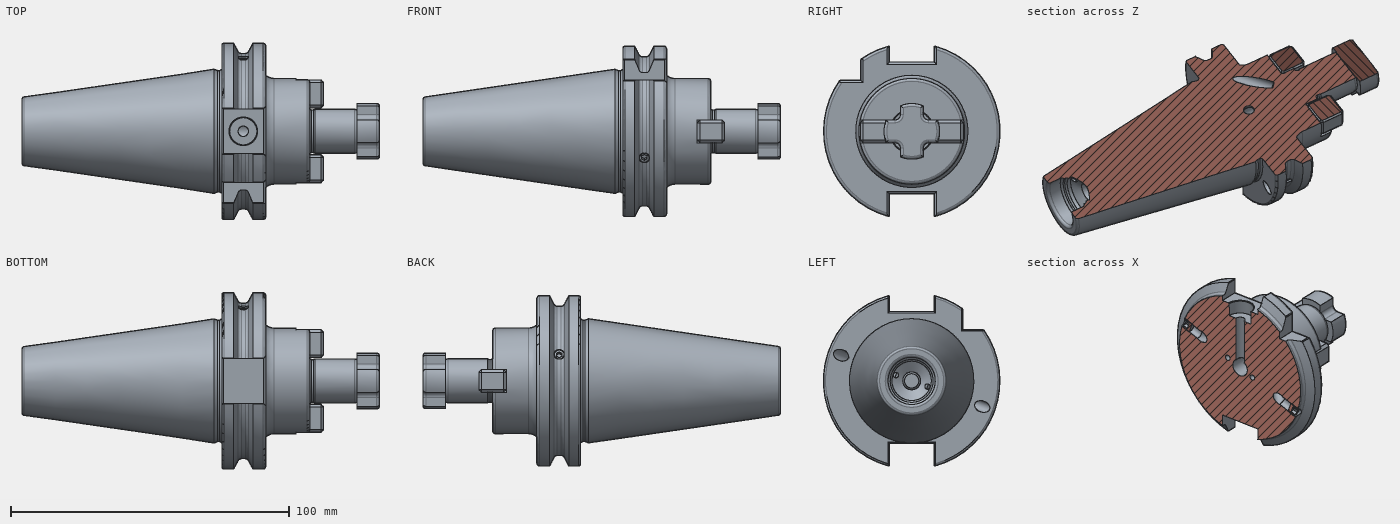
import cadquery as cq
import math


taper_len = 69.0
taper_big_r = 22.3
taper_rate = 7 / 48
taper_small_r = taper_big_r - taper_len * taper_rate
taper_edge = 0.9
relief_depth = 0.5
relief_slope_in = 1.3
relief_slope_out = 0.8

flange_x0 = 71.8
flange_thick = 15.8
flange_x1 = flange_x0 + flange_thick
flange_r = 31.7
flange_edge_front = 0.8
flange_edge_back = 1.0
groove_x = 79.5
groove_width = 6.9
groove_depth = 3.7
groove_half_angle = 28
groove_fillet = 1.3

keyway_width = 16.0
keyway_top_z = 24.9
keyway_bottom_z = 22.5
notch_corner = 18.4
slot_edge_front = 0.5
slot_edge_back = 0.9
slot_edge_rim = 0.3
chip_d = 9.8
chip_depth = 5.1
chip_edge = 0.3
vent_d = 3.7

hub_r = 19.0
hub_x1 = 103.4
hub_edge = 1.0
hub_fillet_len = 3.0
hub_fillet_r = 4.4
spigot_r = 8.0
spigot_x1 = 120.3
spigot_edge_len = 0.9
spigot_edge_drop = 0.3
neck_flat = 0.6
neck_depth = 0.3
neck_slope = 0.6

bore_mouth_r = 9.5
bore_r = 8.5
bore_mouth_edge = bore_mouth_r - bore_r
pilot_len = 5.4
step_r = 7.7
step_len = 0.6
thread_r = 7.0
bore_end_x = 8.9
drill_half_angle = 59
screw_r = 3.2
point_len = (thread_r - screw_r) / math.tan(math.radians(drill_half_angle))
point_end_x = bore_end_x + point_len

coolant_count = 2
coolant_clock = 20
coolant_r = 27.0
coolant_tilt = 45
coolant_d = 4.0
duct_r = 6.0
duct_d = 1.9
plug_d = 3.6
plug_top_r = 27.3
plug_len = 3.2
plug_seat_r = 19.9
socket_flats = 1.9
socket_depth = 1.8

dog_x0 = 98.5
dog_len = 9.9
dog_width = 8.2
dog_in_y = 8.3
dog_out_y = 18.5
dog_edge = 1.0

total_len = 128.4
head_r = 10.0
head_arm_width = 8.2
head_fillet = 1.9
head_edge = 1.0
screw_tip_x = 95.0
screw_tip_edge = 0.6


def x_cylinder(x0, x1, radius):
    return cq.Workplane("YZ", origin=(x0, 0, 0)).circle(radius).extrude(x1 - x0)


class RingEdge(cq.Selector):
    """Selects the circular edge of a given radius around the X axis at a given x."""

    def __init__(self, x, radius):
        self.x = x
        self.radius = radius

    def filter(self, edges):
        rings = [edge for edge in edges if edge.geomType() == "CIRCLE"]
        return [
            edge
            for edge in rings
            if math.isclose(edge.Center().x, self.x, abs_tol=0.0001)
            and math.isclose(edge.radius(), self.radius, abs_tol=0.0001)
        ]


class RimCorner(cq.Selector):
    """Selects the straight edges along X where the slots meet the rim of the flange."""

    def filter(self, edges):
        lines = [edge for edge in edges if edge.geomType() == "LINE"]
        return [
            edge
            for edge in lines
            if math.isclose(math.hypot(edge.Center().y, edge.Center().z), flange_r, abs_tol=0.0001)
        ]


def drill(point, direction, diameter, length):
    return cq.Workplane(
        cq.Solid.makeCylinder(diameter / 2, length, point, direction)
    )


def coolant_frame(shape, index):
    """Turn a shape made in the -Y half plane to its clock position."""
    return shape.rotate((0, 0, 0), (1, 0, 0), coolant_clock + index * 360 / coolant_count)


def turned_blank():
    relief_r = taper_big_r - relief_depth
    blank = (
        cq.Workplane("XZ")
        .moveTo(0, 0)
        .lineTo(0, taper_small_r)
        .lineTo(taper_len, taper_big_r)
        .lineTo(taper_len + relief_slope_in, relief_r)
        .lineTo(flange_x0 - relief_slope_out, relief_r)
        .lineTo(flange_x0, taper_big_r)
        .lineTo(flange_x0, flange_r)
        .lineTo(flange_x1, flange_r)
        .lineTo(flange_x1, hub_r + hub_fillet_r - math.sqrt(hub_fillet_r**2 - hub_fillet_len**2))
        .radiusArc((flange_x1 + hub_fillet_len, hub_r), -hub_fillet_r)
        .lineTo(hub_x1, hub_r)
        .lineTo(hub_x1, spigot_r)
        .lineTo(hub_x1 + neck_slope, spigot_r - neck_depth)
        .lineTo(hub_x1 + neck_slope + neck_flat, spigot_r - neck_depth)
        .lineTo(hub_x1 + 2 * neck_slope + neck_flat, spigot_r)
        .lineTo(spigot_x1 - spigot_edge_len, spigot_r)
        .lineTo(spigot_x1, spigot_r - spigot_edge_drop)
        .lineTo(spigot_x1, 0)
        .close()
        .revolve(360, (0, 0, 0), (1, 0, 0))
    )
    rounded_edges = (
        (0, taper_small_r, taper_edge),
        (flange_x0, flange_r, flange_edge_front),
        (flange_x1, flange_r, flange_edge_back),
        (hub_x1, hub_r, hub_edge),
    )
    for edge_x, edge_r, radius in rounded_edges:
        blank = blank.edges(RingEdge(edge_x, edge_r)).fillet(radius)
    return blank


def grip_groove():
    slope = math.tan(math.radians(groove_half_angle))
    floor_half = groove_width / 2 - groove_depth * slope
    over = 1.3
    top_half = groove_width / 2 + over * slope
    floor_r = flange_r - groove_depth
    cutter = (
        cq.Workplane("XZ")
        .moveTo(groove_x - floor_half, floor_r)
        .lineTo(groove_x - top_half, flange_r + over)
        .lineTo(groove_x + top_half, flange_r + over)
        .lineTo(groove_x + floor_half, floor_r)
        .close()
        .revolve(360, (0, 0, 0), (1, 0, 0))
    )
    for edge_x in (groove_x - floor_half, groove_x + floor_half):
        cutter = cutter.edges(RingEdge(edge_x, floor_r)).fillet(groove_fillet)
    return cutter


def slot_cutter(y0, y1, z0, z1):
    """A slot along X through the flange, flared by a chamfer at both flange faces."""
    size_y = y1 - y0
    size_z = z1 - z0
    centre_y = (y0 + y1) / 2
    centre_z = (z0 + z1) / 2
    cutter = (
        cq.Workplane("XY")
        .box(flange_thick, size_y, size_z)
        .translate((flange_x0 + flange_thick / 2, centre_y, centre_z))
    )
    flares = ((flange_x0, slot_edge_front, 1), (flange_x1, slot_edge_back, -1))
    for face_x, slot_edge, inward in flares:
        flare = (
            cq.Workplane("YZ", origin=(face_x, centre_y, centre_z))
            .rect(size_y + 2 * slot_edge, size_z + 2 * slot_edge)
            .workplane(offset=inward * slot_edge)
            .rect(size_y, size_z)
            .loft(ruled=True)
        )
        cutter = cutter.union(flare)
    return cutter


def flange_slots():
    half = keyway_width / 2
    beyond = flange_r + 1.3
    return [
        slot_cutter(-half, half, keyway_top_z, beyond),
        slot_cutter(-half, half, -beyond, -keyway_bottom_z),
        slot_cutter(-beyond, -notch_corner, notch_corner, beyond),
    ]


def chip_hole():
    floor_centre = cq.Vector(groove_x, 0, keyway_top_z)
    down = cq.Vector(0, 0, -1)
    hole = drill(floor_centre, down, chip_d, chip_depth)
    mouth = (
        cq.Workplane("XY", origin=(groove_x, 0, keyway_top_z))
        .circle(chip_d / 2 + chip_edge)
        .workplane(offset=-chip_edge)
        .circle(chip_d / 2)
        .loft(ruled=True)
    )
    vent = drill(floor_centre, down, vent_d, keyway_top_z)
    return hole.union(mouth).union(vent)


def bore():
    step_x0 = pilot_len + bore_r - step_r
    step_x1 = step_x0 + step_len
    return (
        cq.Workplane("XZ")
        .moveTo(0, 0)
        .lineTo(0, bore_mouth_r)
        .radiusArc((bore_mouth_edge, bore_r), -bore_mouth_edge)
        .lineTo(pilot_len, bore_r)
        .lineTo(step_x0, step_r)
        .lineTo(step_x1, step_r)
        .lineTo(step_x1 + step_r - thread_r, thread_r)
        .lineTo(bore_end_x, thread_r)
        .lineTo(point_end_x, screw_r)
        .lineTo(spigot_x1, screw_r)
        .lineTo(spigot_x1, 0)
        .close()
        .revolve(360, (0, 0, 0), (1, 0, 0))
    )


def coolant_hole(index):
    """Sloping hole from the flange face to an axial duct, crossed by the seat of its plug."""
    tilt = math.radians(coolant_tilt)
    inward = cq.Vector(math.cos(tilt), math.sin(tilt), 0)
    back = coolant_d
    mouth = cq.Vector(flange_x0, -coolant_r, 0)
    sloped_len = (coolant_r - duct_r) / math.sin(tilt)
    hole = drill(mouth - inward * back, inward, coolant_d, sloped_len + back)
    duct_end_x = flange_x0 + sloped_len * math.cos(tilt)
    duct = drill(cq.Vector(0, -duct_r, 0), cq.Vector(1, 0, 0), duct_d, duct_end_x)
    seat = drill(cq.Vector(groove_x, -flange_r, 0), cq.Vector(0, 1, 0), plug_d, flange_r - plug_seat_r)
    return coolant_frame(hole.union(duct).union(seat), index)


def dog_pocket(side):
    length = hub_x1 - dog_x0
    depth = hub_r - dog_in_y
    return (
        cq.Workplane("XY")
        .box(length, depth, dog_width)
        .translate((dog_x0 + length / 2, side * (dog_in_y + depth / 2), 0))
    )


def make_holder():
    body = turned_blank().cut(grip_groove())
    for slot in flange_slots():
        body = body.cut(slot)
    body = body.edges(RimCorner()).chamfer(slot_edge_rim)
    body = body.cut(bore()).cut(chip_hole())
    for index in range(coolant_count):
        body = body.cut(coolant_hole(index))
    for side in (-1, 1):
        body = body.cut(dog_pocket(side))
    return body


def make_dog(side):
    depth = dog_out_y - dog_in_y
    return (
        cq.Workplane("XY")
        .box(dog_len, depth, dog_width)
        .edges()
        .chamfer(dog_edge)
        .translate((dog_x0 + dog_len / 2, side * (dog_in_y + depth / 2), 0))
    )


def make_plug(index):
    plug = drill(cq.Vector(groove_x, -plug_top_r, 0), cq.Vector(0, 1, 0), plug_d, plug_len)
    socket = (
        cq.Workplane("XZ", origin=(groove_x, -plug_top_r, 0))
        .polygon(6, socket_flats, circumscribed=True)
        .extrude(-socket_depth)
    )
    return coolant_frame(plug.cut(socket), index)


def make_retaining_screw():
    arm = cq.Workplane("YZ", origin=(spigot_x1, 0, 0))
    head_len = total_len - spigot_x1
    cross = (
        arm.rect(head_arm_width, 2 * head_r)
        .extrude(head_len)
        .union(arm.rect(2 * head_r, head_arm_width).extrude(head_len))
    )
    inner_corners = cq.selectors.BoxSelector(
        (spigot_x1 - 1.3, -head_r / 2, -head_r / 2), (total_len + 1.3, head_r / 2, head_r / 2)
    )
    cross = cross.edges("|X").edges(inner_corners).fillet(head_fillet)
    shank = x_cylinder(screw_tip_x, spigot_x1, screw_r).faces("<X").chamfer(screw_tip_edge)
    disc = x_cylinder(spigot_x1, total_len, head_r)
    head = cross.intersect(disc).faces(">X").edges().fillet(head_edge)
    return head.union(shank)


holder = make_holder()
dogs = [make_dog(side) for side in (-1, 1)]
plugs = [make_plug(index) for index in range(coolant_count)]
retaining_screw = make_retaining_screw()

result = cq.Compound.makeCompound(
    [
        holder.val(),
        *[dog.val() for dog in dogs],
        *[plug.val() for plug in plugs],
        retaining_screw.val(),
    ]
)